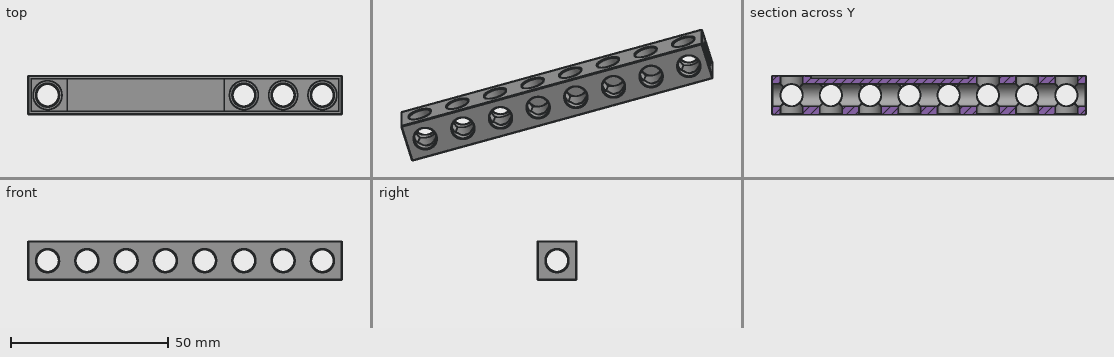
import cadquery as cq

unit = 12.5
block_count = 8
hole_diameter = 7.0
collar_diameter = 9.2
edge_chamfer = 0.3
hole_chamfer = 0.3
rim_width = 1.1
recess_depth = 0.2
panel_depth = 0.8
panel_start, panel_end = 1, 5

length = block_count * unit
half = unit / 2
hole_radius = hole_diameter / 2
flare_radius = hole_radius + hole_chamfer
recess_width = unit - 2 * rim_width
block_centers = [(i + 0.5) * unit - length / 2 for i in range(block_count)]
open_centers = [x for i, x in enumerate(block_centers) if not panel_start <= i < panel_end]
panel_length = (panel_end - panel_start) * unit
panel_center = (panel_start + panel_end) * unit / 2 - length / 2


def box_below_top(size_x, size_y, depth, center_x=0):
    """Box hanging down from the plane of the top face."""
    return (
        cq.Workplane("XY", origin=(center_x, 0, half))
        .rect(size_x, size_y)
        .extrude(-depth)
    )


def revolved_cutter(profile):
    """Solid of revolution about Z from (radius, height) points."""
    return cq.Workplane("XZ").polyline(profile).close().revolve(360, (0, 0), (0, 1))


def through_hole(axis, x, span):
    """Hole cutter along an axis at station x, flared at both ends."""
    end = span / 2
    cutter = revolved_cutter([
        (0, -end),
        (flare_radius, -end),
        (hole_radius, -end + hole_chamfer),
        (hole_radius, end - hole_chamfer),
        (flare_radius, end),
        (0, end),
    ])
    placement = cq.Location(cq.Plane((x, 0, 0), normal=axis))
    return cutter.val().moved(placement)


def blind_hole(x):
    """Hole cutter from the bottom face up to the top of the cross holes, flared at the mouth."""
    cutter = revolved_cutter([
        (0, -half),
        (flare_radius, -half),
        (hole_radius, -half + hole_chamfer),
        (hole_radius, hole_radius),
        (0, hole_radius),
    ])
    return cutter.translate((x, 0, 0))


def top_recess():
    """Shallow pocket inside the rim, leaving a raised collar at each top hole."""
    collars = (
        cq.Workplane("XY", origin=(0, 0, half))
        .pushPoints([(x, 0) for x in open_centers])
        .circle(collar_diameter / 2)
        .extrude(-recess_depth)
    )
    pocket = box_below_top(length - 2 * rim_width, recess_width, recess_depth)
    return pocket.cut(collars)


result = cq.Workplane("XY").box(length, unit, unit).edges().chamfer(edge_chamfer)
result = result.cut(top_recess())
result = result.cut(box_below_top(panel_length, recess_width, panel_depth, panel_center))

x_axis, y_axis, z_axis = (1, 0, 0), (0, 1, 0), (0, 0, 1)
result = result.cut(through_hole(x_axis, 0, length))
for x in block_centers:
    result = result.cut(through_hole(y_axis, x, unit))
    if x in open_centers:
        result = result.cut(through_hole(z_axis, x, unit))
    else:
        result = result.cut(blind_hole(x))